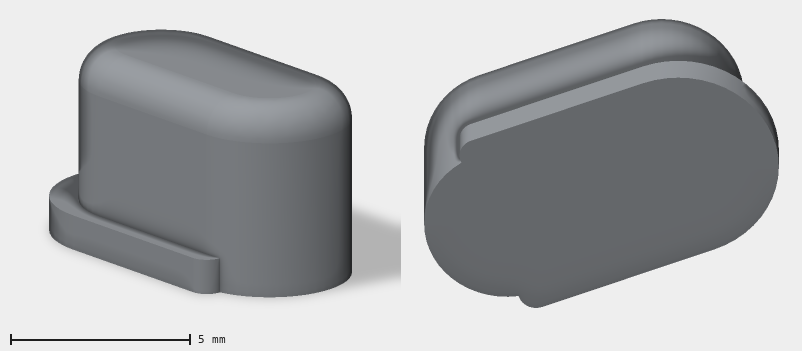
import cadquery as cq

total_length = 10.2
total_height = 5.5

flange_width = 5.6
flange_thickness = 1.0
flange_corner_radius = 0.5

flange_margin = 1.0
cap_width = 4.6
cap_top_radius = 1.0

cap_length = total_length - flange_margin
cap_center_x = flange_margin + cap_length / 2
cap_end_center_x = total_length - cap_width / 2
flange_radius = flange_width / 2
flange_end_x = cap_end_center_x + flange_corner_radius


def make_flange():
    """Plate with one full-round end and two rounded corners."""
    return (
        cq.Workplane("XY")
        .moveTo(flange_radius, flange_radius)
        .lineTo(flange_end_x, flange_radius)
        .lineTo(flange_end_x, -flange_radius)
        .lineTo(flange_radius, -flange_radius)
        .threePointArc((0, 0), (flange_radius, flange_radius))
        .close()
        .extrude(flange_thickness)
        .edges("|Z and >X")
        .fillet(flange_corner_radius)
    )


def make_cap():
    """Full-height obround block with its top edge rounded."""
    return (
        cq.Workplane("XY")
        .center(cap_center_x, 0)
        .slot2D(cap_length, cap_width)
        .extrude(total_height)
        .faces(">Z")
        .edges()
        .fillet(cap_top_radius)
    )


result = make_flange().union(make_cap())